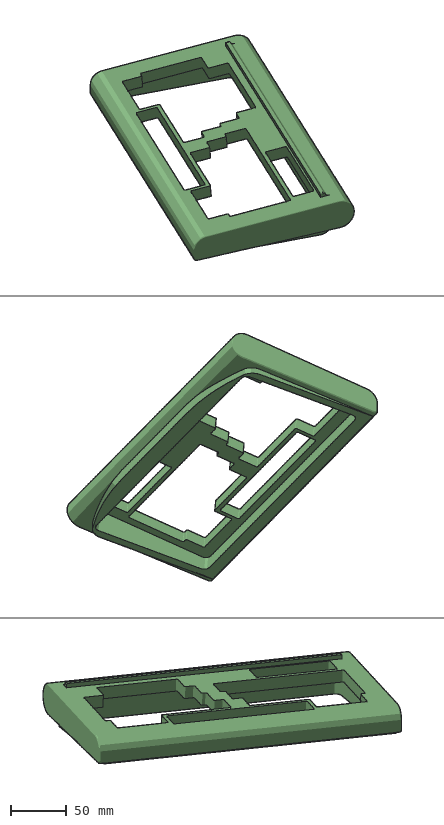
import cadquery as cq
import math

LENGTH = 288.7
DEPTH = 152.7
REAR_RADIUS = 14.7
REAR_AXIS_Z = 21.5
FRONT_TOP_RADIUS = 12.7
FRONT_TOP_AXIS_Z = 12.5
FRONT_BOTTOM_RADIUS = 3.5
FRONT_BOTTOM_AXIS_Z = 3.8
END_FILLET = 1.62

BASE_SIDE_INSET = 5.2
BASE_FRONT_INSET = 1.7
BASE_REAR_INSET = 5.0
BASE_BOW = 14.5
BASE_CORNER_DEPTH = 12.7
BASE_BOW_ANGLE = math.radians(22)
BASE_TOP_Z = 14.5

PLATE_THICKNESS = 11.5
CAVITY_SIDE_INSET = 13.0
CAVITY_START = 7.5
CAVITY_END = 126.0
CAVITY_CUT_DEPTH = 34.5
CAVITY_CORNER_RADIUS = 5.8

KEY = 19.0
CLEARANCE = 0.43
FIELD_HALF_WIDTH = 123.5
FIELD_START = 19.3
RIGHT_FIELD_KEYS = 6.5
FRONT_WINDOW_KEYS = 7
WINDOW_GAP_KEYS = 0.25
OPENING_CORNER_RADIUS = 1.27
CUT_OVERLAP = 0.5

LEDGE_LENGTH = 262.7
LEDGE_HEIGHT = 4.0
LEDGE_START = 3.8
LEDGE_END = 12.0
LEDGE_ROOT_DEPTH = 3.0
LEDGE_BLEND_RADIUS = 4.0
LEDGE_EDGE_RADIUS = 2.0
LEDGE_CORNER_RADIUS = 1.27

rear_axis = (DEPTH - REAR_RADIUS, REAR_AXIS_Z)
front_top_axis = (FRONT_TOP_RADIUS, FRONT_TOP_AXIS_Z)
front_bottom_axis = (FRONT_BOTTOM_RADIUS, FRONT_BOTTOM_AXIS_Z)


def tangent_slope(front_axis, front_radius, side):
    """Angle of the line touching a front round and the rear round; side is 1 above, -1 below."""
    run = rear_axis[0] - front_axis[0]
    rise = rear_axis[1] - front_axis[1]
    growth = math.asin((REAR_RADIUS - front_radius) / math.hypot(run, rise))
    return math.atan2(rise, run) + side * growth


def point_on_round(axis, radius, angle):
    return (axis[0] + radius * math.cos(angle), axis[1] + radius * math.sin(angle))


top_slope = tangent_slope(front_top_axis, FRONT_TOP_RADIUS, 1)
bottom_slope = tangent_slope(front_bottom_axis, FRONT_BOTTOM_RADIUS, -1)
up = top_slope + math.pi / 2
down = bottom_slope - math.pi / 2
top_rear = point_on_round(rear_axis, REAR_RADIUS, up)

plate_plane = cq.Plane(
    origin=(0, top_rear[0], top_rear[1]),
    xDir=(1, 0, 0),
    normal=(0, -math.sin(top_slope), math.cos(top_slope)),
)


def extrude_across(profile, length):
    """Extrude a closed YZ profile along X, centred on X = 0."""
    return profile.extrude(length / 2, both=True)


def make_body():
    profile = (
        cq.Workplane("YZ")
        .moveTo(0, FRONT_BOTTOM_AXIS_Z)
        .lineTo(0, FRONT_TOP_AXIS_Z)
        .threePointArc(
            point_on_round(front_top_axis, FRONT_TOP_RADIUS, (up + math.pi) / 2),
            point_on_round(front_top_axis, FRONT_TOP_RADIUS, up),
        )
        .lineTo(*top_rear)
        .threePointArc(
            point_on_round(rear_axis, REAR_RADIUS, 0),
            point_on_round(rear_axis, REAR_RADIUS, down),
        )
        .lineTo(*point_on_round(front_bottom_axis, FRONT_BOTTOM_RADIUS, down))
        .threePointArc(
            point_on_round(front_bottom_axis, FRONT_BOTTOM_RADIUS, (down - math.pi) / 2),
            (0, FRONT_BOTTOM_AXIS_Z),
        )
        .close()
    )
    return extrude_across(profile, LENGTH).faces("<X or >X").edges().fillet(END_FILLET)


def make_base():
    """Shallow foot whose straight rear side sweeps forward in a wide arc before each corner."""
    side = LENGTH / 2 - BASE_SIDE_INSET
    rear = DEPTH - BASE_REAR_INSET
    bow_end = rear - BASE_BOW
    corner_start = bow_end - BASE_CORNER_DEPTH
    bow_radius = BASE_BOW / (1 - math.cos(BASE_BOW_ANGLE))
    corner_radius = BASE_CORNER_DEPTH / math.cos(BASE_BOW_ANGLE)
    bow_end_x = side - corner_radius * (1 - math.sin(BASE_BOW_ANGLE))
    straight_end_x = bow_end_x - bow_radius * math.sin(BASE_BOW_ANGLE)
    bow_middle = (
        straight_end_x + bow_radius * math.sin(BASE_BOW_ANGLE / 2),
        rear - bow_radius * (1 - math.cos(BASE_BOW_ANGLE / 2)),
    )
    corner_middle_angle = (math.pi / 2 - BASE_BOW_ANGLE) / 2
    corner_middle = (
        side - corner_radius * (1 - math.cos(corner_middle_angle)),
        corner_start + corner_radius * math.sin(corner_middle_angle),
    )
    return (
        cq.Workplane("XY")
        .moveTo(0, BASE_FRONT_INSET)
        .lineTo(side, BASE_FRONT_INSET)
        .lineTo(side, corner_start)
        .threePointArc(corner_middle, (bow_end_x, bow_end))
        .threePointArc(bow_middle, (straight_end_x, rear))
        .lineTo(0, rear)
        .mirrorY()
        .extrude(BASE_TOP_Z)
    )


def round_upright_edges(cutter, radius):
    """Round the edges of a cutter that stand square to the plate."""
    return cutter.edges(cq.selectors.ParallelDirSelector(plate_plane.zDir)).fillet(radius)


def make_cavity():
    cavity = (
        cq.Workplane(plate_plane)
        .workplane(offset=-PLATE_THICKNESS)
        .center(0, -(CAVITY_START + CAVITY_END) / 2)
        .rect(LENGTH - 2 * CAVITY_SIDE_INSET, CAVITY_END - CAVITY_START)
        .extrude(-CAVITY_CUT_DEPTH)
    )
    return round_upright_edges(cavity, CAVITY_CORNER_RADIUS)


def key_cell(left, start, end, row):
    """Cutter for one row, from start to end in keys from the left; rows count down the slope."""
    return (
        cq.Workplane(plate_plane)
        .center(left + (start + end) / 2 * KEY, -FIELD_START - (row + 0.5) * KEY)
        .rect((end - start) * KEY + 2 * CLEARANCE, KEY + 2 * CLEARANCE)
        .extrude(-PLATE_THICKNESS - CUT_OVERLAP)
    )


def key_block(left, first_row, row_spans):
    """Cutter for a block of neighbouring rows, one (start, end) span per row."""
    cells = [
        key_cell(left, start, end, first_row + index)
        for index, (start, end) in enumerate(row_spans)
    ]
    block = cells[0]
    for cell in cells[1:]:
        block = block.union(cell)
    return round_upright_edges(block, OPENING_CORNER_RADIUS)


def make_openings():
    left_rows = [(1, 5), (0, 5.5), (0, 5.75), (0, 6.25), (0.25, 2.75)]
    right_rows = [(0, RIGHT_FIELD_KEYS), (0.25, RIGHT_FIELD_KEYS), (0.75, RIGHT_FIELD_KEYS), (3.75, 6.25)]
    right_left = FIELD_HALF_WIDTH - RIGHT_FIELD_KEYS * KEY
    front_left = -FRONT_WINDOW_KEYS / 2 * KEY
    return [
        key_block(-FIELD_HALF_WIDTH, 0, left_rows),
        key_block(right_left, 1, right_rows),
        key_block(right_left, -WINDOW_GAP_KEYS, [(2.25, 6.25)]),
        key_block(front_left, len(left_rows) - 1 + WINDOW_GAP_KEYS, [(0, FRONT_WINDOW_KEYS)]),
    ]


def ledge_end_trim(crest):
    """Cutter rounding the right end of the ledge top, from its crest to its front."""
    end_x = LEDGE_LENGTH / 2
    inner_x = end_x - LEDGE_CORNER_RADIUS
    lower_z = LEDGE_HEIGHT - LEDGE_CORNER_RADIUS
    arc_offset = LEDGE_CORNER_RADIUS * math.sin(math.pi / 4)
    end_plane = cq.Plane(
        origin=plate_plane.toWorldCoords((0, -crest, 0)), xDir=(1, 0, 0), normal=-plate_plane.yDir
    )
    return (
        cq.Workplane(end_plane)
        .moveTo(inner_x, LEDGE_HEIGHT)
        .threePointArc((inner_x + arc_offset, lower_z + arc_offset), (end_x, lower_z))
        .lineTo(end_x, LEDGE_HEIGHT)
        .close()
        .extrude(LEDGE_END - crest)
    )


def make_ledge():
    """Ledge with a swept-up rear, a rounded crest, rounded ends to its flat top and a square front."""
    sweep = math.acos(1 - LEDGE_HEIGHT / (LEDGE_BLEND_RADIUS + LEDGE_EDGE_RADIUS))
    blend_end = (
        LEDGE_START + LEDGE_BLEND_RADIUS * math.sin(sweep),
        LEDGE_BLEND_RADIUS * (1 - math.cos(sweep)),
    )
    blend_middle = (
        LEDGE_START + LEDGE_BLEND_RADIUS * math.sin(sweep / 2),
        LEDGE_BLEND_RADIUS * (1 - math.cos(sweep / 2)),
    )
    crest = LEDGE_START + (LEDGE_BLEND_RADIUS + LEDGE_EDGE_RADIUS) * math.sin(sweep)
    edge_middle = (
        crest - LEDGE_EDGE_RADIUS * math.sin(sweep / 2),
        LEDGE_HEIGHT - LEDGE_EDGE_RADIUS * (1 - math.cos(sweep / 2)),
    )
    section_plane = cq.Plane(
        origin=plate_plane.origin, xDir=-plate_plane.yDir, normal=(-1, 0, 0)
    )
    profile = (
        cq.Workplane(section_plane)
        .moveTo(LEDGE_START, 0)
        .threePointArc(blend_middle, blend_end)
        .threePointArc(edge_middle, (crest, LEDGE_HEIGHT))
        .lineTo(LEDGE_END, LEDGE_HEIGHT)
        .lineTo(LEDGE_END, -LEDGE_ROOT_DEPTH)
        .lineTo(LEDGE_START, -LEDGE_ROOT_DEPTH)
        .close()
    )
    ledge = extrude_across(profile, LEDGE_LENGTH)
    right_trim = ledge_end_trim(crest)
    return ledge.cut(right_trim).cut(right_trim.mirror("YZ"))


result = make_body().union(make_base()).cut(make_cavity())
for opening in make_openings():
    result = result.cut(opening)
result = result.union(make_ledge())